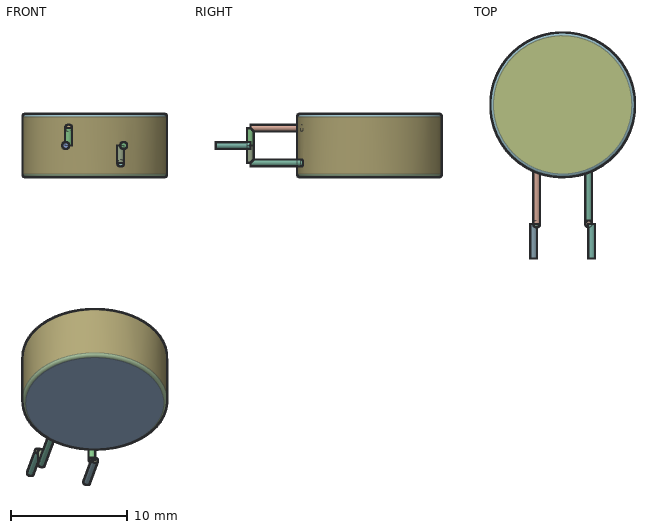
import cadquery as cq

body_diameter = 12.5
body_height = 5.5
edge_radius = 0.3

overall_length = 19.5
wire_diameter = 0.6
tip_length = 3.0
root_offset_x = 2.25
tip_offset_x = 2.5
root_height = 1.5

tip_end_y = body_diameter / 2 - overall_length
bend_y = tip_end_y + tip_length
root_start_y = -body_diameter / 4


def wire_along_y(x, z, start_y, end_y):
    """Straight wire running towards -Y."""
    plane = cq.Plane(origin=(x, start_y, z), xDir=(1, 0, 0), normal=(0, -1, 0))
    return cq.Workplane(plane).circle(wire_diameter / 2).extrude(start_y - end_y)


def lead(side):
    """Bent lead: side is -1 for the high root at -X, +1 for the low root at +X."""
    root_x = side * root_offset_x
    root_z = -side * root_height
    root = wire_along_y(root_x, root_z, root_start_y, bend_y)
    riser = cq.Workplane("XY").center(root_x, bend_y).circle(wire_diameter / 2).extrude(root_z)
    tip = wire_along_y(side * tip_offset_x, 0, bend_y, tip_end_y)
    return root.union(riser).union(tip)


body = (
    cq.Workplane("XY", origin=(0, 0, -body_height / 2))
    .circle(body_diameter / 2)
    .extrude(body_height)
    .edges("%CIRCLE")
    .fillet(edge_radius)
)

result = body
for side in (-1, 1):
    result = result.union(lead(side))